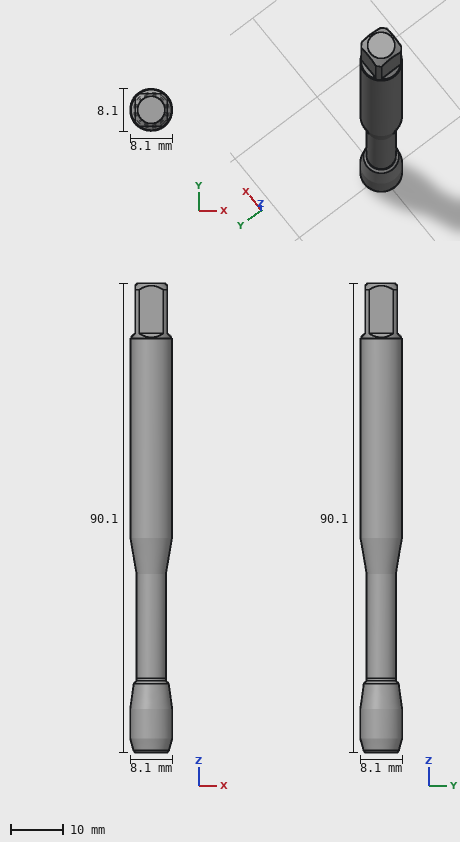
import cadquery as cq

TOTAL_LENGTH = 90.1
LEAD_START = 0.45
LEAD_END = 2.7
BACK_TAPER_START = 8.4
HEAD_SHOULDER = 13.2
BODY_JOINT = 14.3
NECK_END = 34.3
CONE_END = 41.2
SHANK_END = 79.4
FLAT_BOTTOM = 80.5

HEAD_DIAMETER = 8.1
SHANK_DIAMETER = 8.0
NECK_DIAMETER = 5.7
TIP_DIAMETER = 6.1
LEAD_START_DIAMETER = 6.85
SHOULDER_DIAMETER = 6.8
DRIVE_CORNER_DIAMETER = 7.75
DRIVE_TOP_DIAMETER = 5.2

DRIVE_ACROSS_FLATS = 6.2
FLAT_COUNT = 4

SHOULDER_TOP = HEAD_SHOULDER + (SHOULDER_DIAMETER - NECK_DIAMETER) / 2
SHANK_CHAMFER = (SHANK_DIAMETER - DRIVE_CORNER_DIAMETER) / 2
TOP_CHAMFER = (DRIVE_CORNER_DIAMETER - DRIVE_TOP_DIAMETER) / 2


def turned_body(stations):
    """Revolve (diameter, height) stations about Z, closed along the axis."""
    bottom = stations[0][1]
    top = stations[-1][1]
    outline = [(0, bottom)]
    outline += [(diameter / 2, height) for diameter, height in stations]
    outline += [(0, top)]
    return cq.Workplane("XZ").polyline(outline).close().revolve(360, (0, 0), (0, 1))


def flat_cutter():
    """Wedge outside one drive flat, with a 45 degree run-out at its lower end."""
    inner = DRIVE_ACROSS_FLATS / 2
    outer = SHANK_DIAMETER
    run_out = outer - inner
    outline = [
        (inner, FLAT_BOTTOM),
        (outer, FLAT_BOTTOM - run_out),
        (outer, TOTAL_LENGTH),
        (inner, TOTAL_LENGTH),
    ]
    return cq.Workplane("XZ").polyline(outline).close().extrude(SHANK_DIAMETER, both=True)


def make_head():
    """Working head with a chamfered tip, a lead taper, a back taper and a short neck stub."""
    return turned_body([
        (TIP_DIAMETER, 0),
        (LEAD_START_DIAMETER, LEAD_START),
        (HEAD_DIAMETER, LEAD_END),
        (HEAD_DIAMETER, BACK_TAPER_START),
        (SHOULDER_DIAMETER, HEAD_SHOULDER),
        (NECK_DIAMETER, SHOULDER_TOP),
        (NECK_DIAMETER, BODY_JOINT),
    ])


def make_shank():
    """Neck, transition cone and shank, ending in a square drive."""
    shank = turned_body([
        (NECK_DIAMETER, BODY_JOINT),
        (NECK_DIAMETER, NECK_END),
        (SHANK_DIAMETER, CONE_END),
        (SHANK_DIAMETER, SHANK_END),
        (DRIVE_CORNER_DIAMETER, SHANK_END + SHANK_CHAMFER),
        (DRIVE_CORNER_DIAMETER, TOTAL_LENGTH - TOP_CHAMFER),
        (DRIVE_TOP_DIAMETER, TOTAL_LENGTH),
    ])
    cutter = flat_cutter()
    for index in range(FLAT_COUNT):
        angle = index * 360 / FLAT_COUNT
        shank = shank.cut(cutter.rotate((0, 0, 0), (0, 0, 1), angle))
    return shank


head = make_head()
shank = make_shank()
result = cq.Compound.makeCompound([head.val(), shank.val()])